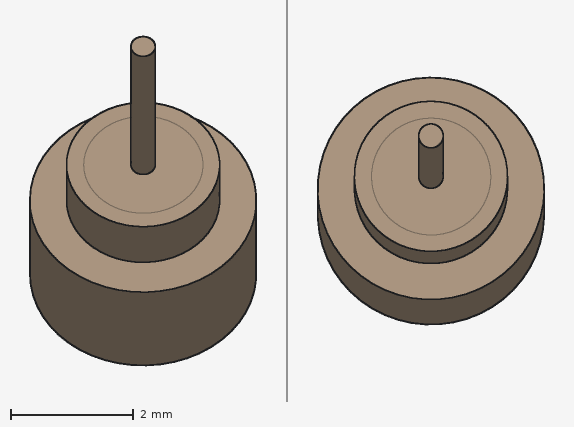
import cadquery as cq

total_height = 6.35
base_diameter = 3.7
base_height = 2.05
neck_diameter = 2.5
neck_height = 1.0
seal_diameter = 1.95
pin_diameter = 0.4

neck_top = base_height + neck_height
pin_length = total_height - neck_top


def cylinder(diameter, bottom, height):
    """Upright cylinder on the Z axis, starting at the given level."""
    return cq.Workplane("XY").workplane(offset=bottom).circle(diameter / 2).extrude(height)


base = cylinder(base_diameter, 0, base_height)
neck = cylinder(neck_diameter, base_height, neck_height)
seal = cylinder(seal_diameter, base_height, neck_height)
body = base.union(neck).cut(seal)

pin = cylinder(pin_diameter, neck_top, pin_length)
result = body.union(seal, clean=False).union(pin, clean=False)